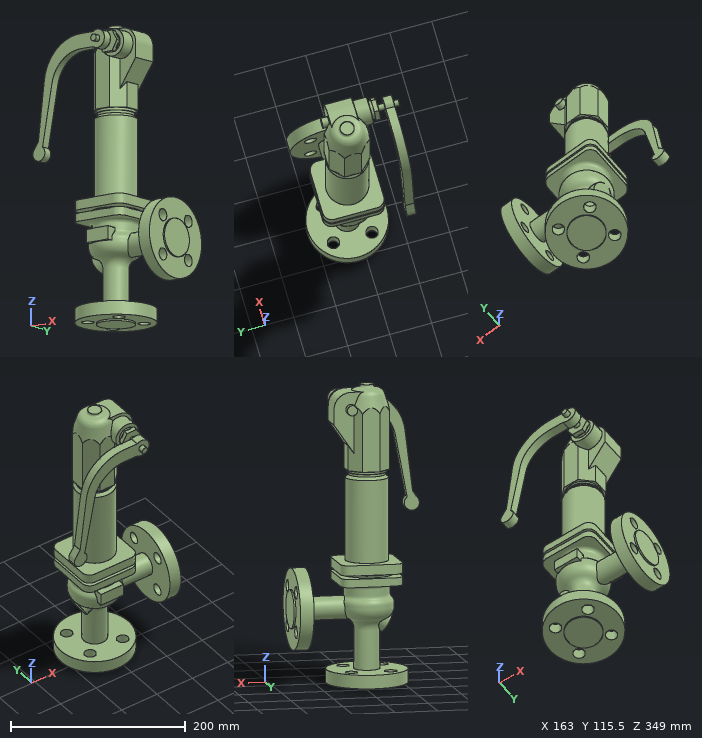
import cadquery as cq
import math


FLANGE_DIA = 95.0
FLANGE_THICK = 16.0
FACE_DIA = 45.0
FACE_HEIGHT = 2.0
BOLT_CIRCLE_DIA = 65.0
BOLT_HOLE_DIA = 14.0
BOLT_COUNT = 4
OUTLET_REACH = 90.0
OUTLET_Z = 90.0
OUTLET_PIPE_RADIUS = 13.75

INLET_RADIUS = 15.0
NECK_FILLET = 13.0
BULGE_RADIUS = 31.7
BULGE_LOWER_ROUND = 15.0
BULGE_LOWER_Z = 90.5
BULGE_UPPER_Z = 94.7
BULGE_UPPER_ROUND = 9.0
SHOULDER_FILLET = 6.0
BODY_TOP_RADIUS = 27.0
BODY_TOP_FILLET = 5.0

PLATE_SIDE = 73.0
PLATE_CORNER = 11.0
LOWER_PLATE_Z = 118.7
LOWER_PLATE_THICK = 9.7
GASKET_RADIUS = 31.0
GASKET_THICK = 2.0
SPIGOT_RADIUS = 28.0
SPIGOT_THICK = 2.0
UPPER_PLATE_THICK = 11.8

BONNET_RADIUS = 25.0
BONNET_EDGE_Z = 240.5
BONNET_TOP_Z = 244.0
GROOVE_RADIUS = 21.5
GROOVE_TOP_Z = 247.0
COLLAR_RADIUS = 23.0

CAP_BOTTOM_Z = 250.0
CAP_FLATS = 49.0
CAP_CONE_Z = 337.5
CAP_CONE_RADIUS = 20.8
CAP_CONE_ANGLE = math.radians(16.3)
DOME_TOP_Z = 345.0
BUTTON_RADIUS = 8.1
TOP_Z = 349.0

SHAFT_X = 22.0
SHAFT_Z = 322.4
HOUSING_RADIUS = 20.0
HOUSING_HALF_WIDTH = 16.0
HOUSING_SIDE_Z = 305.0
HOUSING_TIP_X = 18.0
HOUSING_TIP_Z = 270.5
SCREW_RADIUS = 6.0
SCREW_END_Y = 24.0
BOSS_RADIUS = 16.0
BOSS_END_Y = -33.0
GLAND_RADIUS = 11.0
NUT_START_Y = -36.8
NUT_END_Y = -42.5
NUT_FLATS = 24.0
SHAFT_RADIUS = 4.0
SHAFT_END_Y = -68.0

LEVER_BACK_Y = -50.5
LEVER_THICK = 11.0
HUB_RADIUS = 11.0
ARM_HALF_HEIGHT = 9.0
BEND_X = -2.6
BEND_OUTER_RADIUS = 53.9
BEND_INNER_RADIUS = 42.7
ARM_OUTER_TILT = math.radians(7.1)
ARM_INNER_TILT = math.radians(10.8)
KNOB_X = -64.0
KNOB_Z = 199.0
KNOB_RADIUS = 9.0
KNOB_NECK_RISE = 14.6
KNOB_BLEND_ANGLE = math.radians(145)

DRAIN_RADIUS = 13.5
DRAIN_FACE_X = -23.0
DRAIN_FACE_Z = 71.9
DRAIN_TILT = math.radians(30)
DRAIN_LENGTH = 25.0
NAME_PLATE_WIDTH = 32.0
NAME_PLATE_BOTTOM_Z = 92.5
NAME_PLATE_HEIGHT = 15.7
NAME_PLATE_FACE_Y = -34.5


def polar(center, radius, angle):
    return (center[0] + radius * math.cos(angle), center[1] + radius * math.sin(angle))


def disc(radius, bottom, top):
    return cq.Workplane("XY").workplane(offset=bottom).circle(radius).extrude(top - bottom)


def cross_bar(radius, start_y, end_y):
    """Cylinder along Y on the lever shaft axis."""
    plane = cq.Workplane("XZ", origin=(SHAFT_X, start_y, SHAFT_Z))
    return plane.circle(radius).extrude(start_y - end_y)


def pipe_flange():
    """Flange standing on its raised face at Z = 0, bolt holes on the diagonals."""
    back_z = FACE_HEIGHT + FLANGE_THICK
    holes = (
        cq.Workplane("XY")
        .polarArray(BOLT_CIRCLE_DIA / 2, 180 / BOLT_COUNT, 360, BOLT_COUNT)
        .circle(BOLT_HOLE_DIA / 2)
        .extrude(back_z)
    )
    plate = disc(FLANGE_DIA / 2, FACE_HEIGHT, back_z).cut(holes)
    return plate.union(disc(FACE_DIA / 2, 0, FACE_HEIGHT))


def outlet():
    pipe = disc(OUTLET_PIPE_RADIUS, FACE_HEIGHT, OUTLET_REACH)
    branch = pipe_flange().union(pipe)
    return branch.rotate((0, 0, 0), (0, 1, 0), -90).translate((OUTLET_REACH, 0, OUTLET_Z))


def body():
    """Inlet pipe, bulge and upper collar, turned from a chain of tangent arcs."""
    bulge_low = (BULGE_RADIUS - BULGE_LOWER_ROUND, BULGE_LOWER_Z)
    neck_dx = INLET_RADIUS + NECK_FILLET - bulge_low[0]
    neck_angle = math.acos(neck_dx / (NECK_FILLET + BULGE_LOWER_ROUND))
    neck = polar(bulge_low, NECK_FILLET + BULGE_LOWER_ROUND, -neck_angle)
    neck_joint = polar(bulge_low, BULGE_LOWER_ROUND, -neck_angle)

    bulge_up = (BULGE_RADIUS - BULGE_UPPER_ROUND, BULGE_UPPER_Z)
    shoulder_dx = BODY_TOP_RADIUS + SHOULDER_FILLET - bulge_up[0]
    shoulder_angle = math.acos(shoulder_dx / (SHOULDER_FILLET + BULGE_UPPER_ROUND))
    shoulder = polar(bulge_up, SHOULDER_FILLET + BULGE_UPPER_ROUND, shoulder_angle)
    shoulder_joint = polar(bulge_up, BULGE_UPPER_ROUND, shoulder_angle)

    flare = (BODY_TOP_RADIUS + BODY_TOP_FILLET, LOWER_PLATE_Z - BODY_TOP_FILLET)
    half_neck = math.pi - neck_angle / 2
    half_shoulder = math.pi + shoulder_angle / 2
    return (
        cq.Workplane("XZ")
        .moveTo(0, FACE_HEIGHT)
        .lineTo(INLET_RADIUS, FACE_HEIGHT)
        .lineTo(INLET_RADIUS, neck[1])
        .threePointArc(polar(neck, NECK_FILLET, half_neck), neck_joint)
        .threePointArc(
            polar(bulge_low, BULGE_LOWER_ROUND, -neck_angle / 2), (BULGE_RADIUS, BULGE_LOWER_Z)
        )
        .lineTo(BULGE_RADIUS, BULGE_UPPER_Z)
        .threePointArc(polar(bulge_up, BULGE_UPPER_ROUND, shoulder_angle / 2), shoulder_joint)
        .threePointArc(
            polar(shoulder, SHOULDER_FILLET, half_shoulder), (BODY_TOP_RADIUS, shoulder[1])
        )
        .lineTo(BODY_TOP_RADIUS, flare[1])
        .threePointArc(polar(flare, BODY_TOP_FILLET, 0.75 * math.pi), (flare[0], LOWER_PLATE_Z))
        .lineTo(0, LOWER_PLATE_Z)
        .close()
        .revolve(360, (0, 0), (0, 1))
    )


def drain_boss():
    """Slanted round boss running into the body below the bulge."""
    axis = (math.cos(DRAIN_TILT), 0, math.sin(DRAIN_TILT))
    plane = cq.Plane(origin=(DRAIN_FACE_X, 0, DRAIN_FACE_Z), xDir=(0, 1, 0), normal=axis)
    return cq.Workplane(plane).circle(DRAIN_RADIUS).extrude(DRAIN_LENGTH)


def name_plate():
    depth = -NAME_PLATE_FACE_Y
    return cq.Workplane("XY").box(
        NAME_PLATE_WIDTH, depth, NAME_PLATE_HEIGHT, centered=(True, False, False)
    ).translate((0, NAME_PLATE_FACE_Y, NAME_PLATE_BOTTOM_Z))


def square_plate(bottom, thickness):
    plate = cq.Workplane("XY").workplane(offset=bottom).rect(PLATE_SIDE, PLATE_SIDE).extrude(thickness)
    return plate.edges("|Z").fillet(PLATE_CORNER)


def clamping_plates():
    gasket_z = LOWER_PLATE_Z + LOWER_PLATE_THICK
    spigot_z = gasket_z + GASKET_THICK
    upper_z = spigot_z + SPIGOT_THICK
    return (
        square_plate(LOWER_PLATE_Z, LOWER_PLATE_THICK)
        .union(disc(GASKET_RADIUS, gasket_z, spigot_z))
        .union(disc(SPIGOT_RADIUS, spigot_z, upper_z))
        .union(square_plate(upper_z, UPPER_PLATE_THICK))
    )


def bonnet():
    start_z = LOWER_PLATE_Z + LOWER_PLATE_THICK
    return (
        cq.Workplane("XZ")
        .moveTo(0, start_z)
        .lineTo(BONNET_RADIUS, start_z)
        .lineTo(BONNET_RADIUS, BONNET_EDGE_Z)
        .lineTo(GROOVE_RADIUS, BONNET_TOP_Z)
        .lineTo(GROOVE_RADIUS, GROOVE_TOP_Z)
        .lineTo(COLLAR_RADIUS, GROOVE_TOP_Z)
        .lineTo(COLLAR_RADIUS, CAP_BOTTOM_Z)
        .lineTo(0, CAP_BOTTOM_Z)
        .close()
        .revolve(360, (0, 0), (0, 1))
    )


def cap():
    """Octagonal prism trimmed by a turned envelope: cone, dome and filleted top button."""
    sides = 8
    octagon = (
        cq.Workplane("XY")
        .workplane(offset=CAP_BOTTOM_Z)
        .polygon(sides, CAP_FLATS / math.cos(math.pi / sides))
        .extrude(TOP_Z - CAP_BOTTOM_Z)
        .rotate((0, 0, 0), (0, 0, 1), 180 / sides)
    )
    cone_foot_radius = CAP_CONE_RADIUS + (CAP_CONE_Z - CAP_BOTTOM_Z) * math.tan(CAP_CONE_ANGLE)
    dome_round = (DOME_TOP_Z - CAP_CONE_Z) / (1 - math.sin(CAP_CONE_ANGLE))
    dome_center = (CAP_CONE_RADIUS - dome_round * math.cos(CAP_CONE_ANGLE), DOME_TOP_Z - dome_round)
    dome_middle = polar(dome_center, dome_round, (CAP_CONE_ANGLE + math.pi / 2) / 2)
    button_fillet = dome_center[0] - BUTTON_RADIUS
    button_center = (dome_center[0], DOME_TOP_Z + button_fillet)
    button_fillet_middle = polar(button_center, button_fillet, 1.25 * math.pi)
    envelope = (
        cq.Workplane("XZ")
        .moveTo(0, CAP_BOTTOM_Z)
        .lineTo(cone_foot_radius, CAP_BOTTOM_Z)
        .lineTo(CAP_CONE_RADIUS, CAP_CONE_Z)
        .threePointArc(dome_middle, (dome_center[0], DOME_TOP_Z))
        .threePointArc(button_fillet_middle, (BUTTON_RADIUS, button_center[1]))
        .lineTo(BUTTON_RADIUS, TOP_Z)
        .lineTo(0, TOP_Z)
        .close()
        .revolve(360, (0, 0), (0, 1))
    )
    return octagon.intersect(envelope)


def shaft_housing():
    """Rounded block on the cap, with the shaft boss, gland, nut, shaft and rear screw."""
    top_z = SHAFT_Z + HOUSING_RADIUS
    side_x = SHAFT_X + HOUSING_RADIUS
    block = (
        cq.Workplane("XZ", origin=(0, HOUSING_HALF_WIDTH, 0))
        .moveTo(0, HOUSING_TIP_Z)
        .lineTo(HOUSING_TIP_X, HOUSING_TIP_Z)
        .lineTo(side_x, HOUSING_SIDE_Z)
        .lineTo(side_x, SHAFT_Z)
        .threePointArc(polar((SHAFT_X, SHAFT_Z), HOUSING_RADIUS, math.pi / 4), (SHAFT_X, top_z))
        .lineTo(0, top_z)
        .close()
        .extrude(2 * HOUSING_HALF_WIDTH)
    )
    sides = 6
    nut = (
        cq.Workplane("XZ", origin=(SHAFT_X, NUT_START_Y, SHAFT_Z))
        .polygon(sides, NUT_FLATS / math.cos(math.pi / sides))
        .extrude(NUT_START_Y - NUT_END_Y)
    )
    return (
        block.union(cross_bar(SCREW_RADIUS, SCREW_END_Y, 0))
        .union(cross_bar(BOSS_RADIUS, 0, BOSS_END_Y))
        .union(cross_bar(GLAND_RADIUS, BOSS_END_Y, NUT_START_Y))
        .union(nut)
        .union(cross_bar(SHAFT_RADIUS, NUT_END_Y, SHAFT_END_Y))
    )


def lever():
    """Flat lever: hub on the shaft, bent tapering arm and round knob."""
    top_z = SHAFT_Z + ARM_HALF_HEIGHT
    bottom_z = SHAFT_Z - ARM_HALF_HEIGHT
    outer_center = (BEND_X, top_z - BEND_OUTER_RADIUS)
    inner_center = (BEND_X, bottom_z - BEND_INNER_RADIUS)
    outer_end_angle = math.pi - ARM_OUTER_TILT
    inner_end_angle = math.pi - ARM_INNER_TILT
    outer_end = polar(outer_center, BEND_OUTER_RADIUS, outer_end_angle)
    inner_end = polar(inner_center, BEND_INNER_RADIUS, inner_end_angle)

    neck_z = KNOB_Z + KNOB_NECK_RISE
    outer_neck = (outer_end[0] - (outer_end[1] - neck_z) * math.tan(ARM_OUTER_TILT), neck_z)
    inner_foot = (inner_end[0] - (inner_end[1] - KNOB_Z) * math.tan(ARM_INNER_TILT), KNOB_Z)
    knob_center = (KNOB_X, KNOB_Z)
    arm = (
        cq.Workplane("XZ", origin=(0, LEVER_BACK_Y, 0))
        .moveTo(SHAFT_X, top_z)
        .lineTo(BEND_X, top_z)
        .threePointArc(
            polar(outer_center, BEND_OUTER_RADIUS, (outer_end_angle + math.pi / 2) / 2), outer_end
        )
        .lineTo(*outer_neck)
        .lineTo(*polar(knob_center, KNOB_RADIUS, KNOB_BLEND_ANGLE))
        .lineTo(*knob_center)
        .lineTo(*inner_foot)
        .lineTo(*inner_end)
        .threePointArc(
            polar(inner_center, BEND_INNER_RADIUS, (inner_end_angle + math.pi / 2) / 2),
            (BEND_X, bottom_z),
        )
        .lineTo(SHAFT_X, bottom_z)
        .close()
        .extrude(LEVER_THICK)
    )
    knob = (
        cq.Workplane("XZ", origin=(KNOB_X, LEVER_BACK_Y, KNOB_Z))
        .circle(KNOB_RADIUS)
        .extrude(LEVER_THICK)
    )
    hub = cross_bar(HUB_RADIUS, LEVER_BACK_Y, LEVER_BACK_Y - LEVER_THICK)
    return arm.union(knob).union(hub)


result = (
    pipe_flange()
    .union(body())
    .union(outlet())
    .union(drain_boss())
    .union(name_plate())
    .union(clamping_plates())
    .union(bonnet())
    .union(cap())
    .union(shaft_housing())
    .union(lever())
)